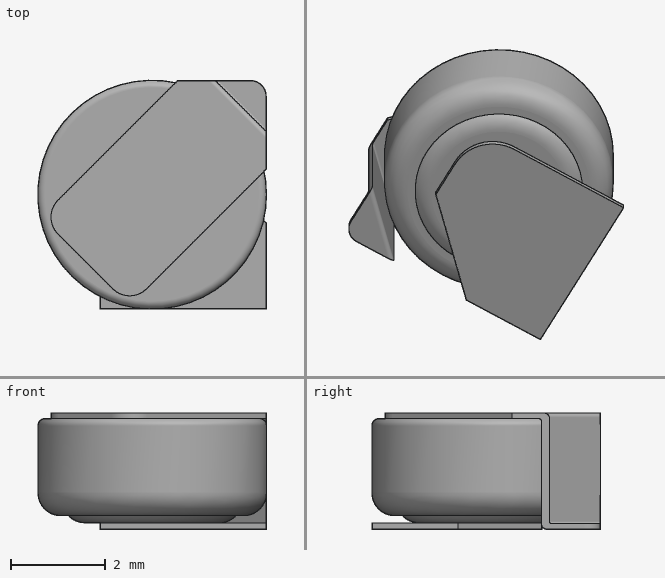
import cadquery as cq
import math

height = 2.46
side = 4.81
half_side = side / 2
strip_thickness = 0.12
plate_thickness = 0.14

can_diameter = 4.825
can_radius = can_diameter / 2
can_top = height - strip_thickness
can_bottom = plate_thickness
top_edge_radius = 0.155
bottom_edge_radius = 0.485
boss_height = 0.15
boss_flat_radius = 1.415
boss_edge_radius = 0.48
step_z = can_bottom + boss_height

plate_left = -1.095
plate_back = 1.17
plate_corner_radius = 0.91
plate_cut_sum = 1.808

strip_width = 2.64
strip_end = -1.99
strip_end_radius = 0.505
wall_outer = 2.64
wall_inner = wall_outer - strip_thickness
outer_bend_radius = 0.1
inner_bend_radius = 0.045
foot_corner_radius = 0.333
diagonal_angle = 45
foot_reach = half_side * math.sqrt(2)


def make_battery():
    """Round can with rounded rims and a shallow rounded boss underneath."""
    def boss_radius_at(rise):
        drop = boss_edge_radius - rise
        return boss_flat_radius + math.sqrt(boss_edge_radius**2 - drop**2)

    half_rise = boss_height / 2
    can = (
        cq.Workplane("XY", origin=(0, 0, step_z))
        .circle(can_radius)
        .extrude(can_top - step_z)
        .faces(">Z").edges().fillet(top_edge_radius)
        .faces("<Z").edges().fillet(bottom_edge_radius)
    )
    boss = (
        cq.Workplane("XZ")
        .moveTo(0, can_bottom)
        .lineTo(boss_flat_radius, can_bottom)
        .threePointArc(
            (boss_radius_at(half_rise), can_bottom + half_rise),
            (boss_radius_at(boss_height), step_z),
        )
        .lineTo(0, step_z)
        .close()
        .revolve(360, (0, 0, 0), (0, 1, 0))
    )
    return can.union(boss)


def make_lower_terminal():
    """Flat plate with one rounded and one slanted back corner."""
    return (
        cq.Workplane("XY")
        .polyline([
            (plate_left, -half_side),
            (half_side, -half_side),
            (half_side, plate_cut_sum - half_side),
            (plate_cut_sum - plate_back, plate_back),
            (plate_left, plate_back),
        ])
        .close()
        .extrude(plate_thickness)
        .edges("|Z and <X and >Y").fillet(plate_corner_radius)
    )


def make_upper_terminal():
    """Z-shaped strip: top tab, upright wall and outward foot."""
    bent_strip = (
        cq.Workplane("XZ")
        .moveTo(strip_end, height)
        .lineTo(wall_outer - outer_bend_radius, height)
        .radiusArc((wall_outer, height - outer_bend_radius), outer_bend_radius)
        .lineTo(wall_outer, strip_thickness + inner_bend_radius)
        .radiusArc((wall_outer + inner_bend_radius, strip_thickness), -inner_bend_radius)
        .lineTo(foot_reach, strip_thickness)
        .lineTo(foot_reach, 0)
        .lineTo(wall_inner + outer_bend_radius, 0)
        .radiusArc((wall_inner, outer_bend_radius), outer_bend_radius)
        .lineTo(wall_inner, can_top - inner_bend_radius)
        .radiusArc((wall_inner - inner_bend_radius, can_top), -inner_bend_radius)
        .lineTo(strip_end, can_top)
        .close()
        .extrude(strip_width / 2, both=True)
        .edges("|Z and <X").fillet(strip_end_radius)
        .rotate((0, 0, 0), (0, 0, 1), diagonal_angle)
    )
    footprint = (
        cq.Workplane("XY")
        .rect(side, side)
        .extrude(height)
        .edges("|Z and >X and >Y").fillet(foot_corner_radius)
    )
    return bent_strip.intersect(footprint)


battery = make_battery()
lower_terminal = make_lower_terminal()
upper_terminal = make_upper_terminal()

bodies = [battery, lower_terminal, upper_terminal]
result = cq.Compound.makeCompound([body.solids().val() for body in bodies])